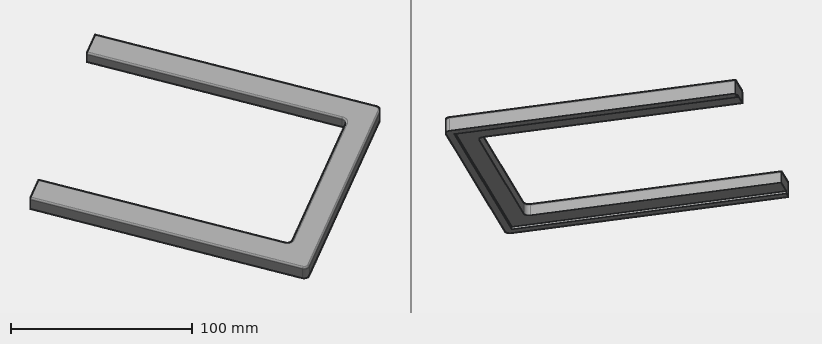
import cadquery as cq

length = 166.3
width = 126.2
height = 9.0

bar_width = 15.0
arm_setback = 5.0
corner_radius = 3.0
top_edge_radius = 1.0

lip_width = 4.5
rebate_depth = 1.5

right_x = length / 2
left_x = -right_x
half_width = width / 2
short_arm_x = left_x + arm_setback
inner_right_x = right_x - bar_width
inner_half_width = half_width - bar_width


def right_of(x):
    """Selector for edges whose centre lies on the +X side of the given x."""
    return cq.selectors.BoxSelector((x, -width, -height), (length, width, 2 * height))


def make_frame():
    """U-shaped frame open towards -X, with its four upright corners rounded."""
    outline = [
        (left_x, half_width),
        (right_x, half_width),
        (right_x, -half_width),
        (short_arm_x, -half_width),
        (short_arm_x, -inner_half_width),
        (inner_right_x, -inner_half_width),
        (inner_right_x, inner_half_width),
        (left_x, inner_half_width),
    ]
    frame = cq.Workplane("XY").polyline(outline).close().extrude(height)
    return frame.edges("|Z").edges(right_of(inner_right_x - corner_radius)).fillet(corner_radius)


def round_top_edges(frame):
    """Round every top edge except those across the two square arm ends."""
    return frame.faces(">Z").edges(right_of(short_arm_x + top_edge_radius)).fillet(top_edge_radius)


def make_rebate():
    """Block open at the arm ends that leaves the lip on the other three sides."""
    rebate_length = length - lip_width
    rebate_width = width - 2 * lip_width
    block = cq.Workplane("XY").box(
        rebate_length, rebate_width, rebate_depth, centered=(False, True, False)
    )
    return block.translate((left_x, 0, 0))


result = round_top_edges(make_frame()).cut(make_rebate())